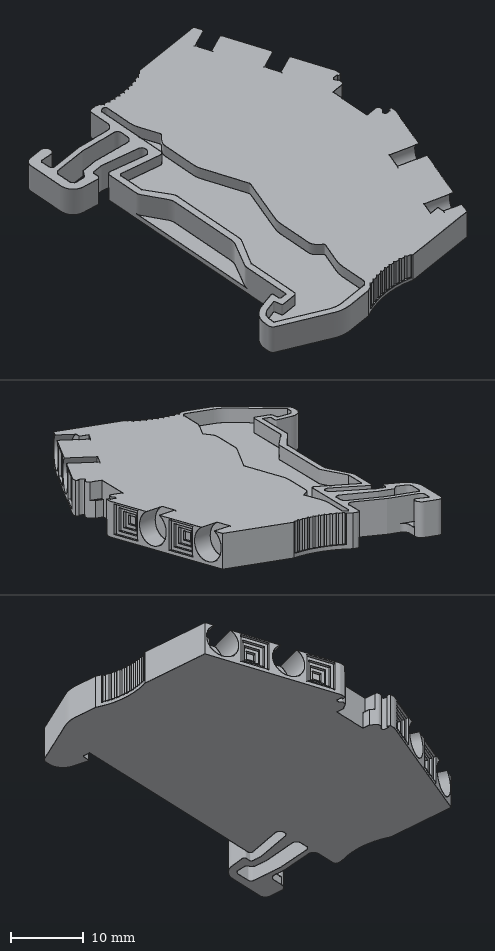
import cadquery as cq
import math

WIDTH = 50.9
HEIGHT = 41.4
THICKNESS = 5.2
HALF_WIDTH = WIDTH / 2

ROOF_ANGLE = 20.0
SHOULDER_Y = 34.15
ROOF_RUN = (HEIGHT - SHOULDER_Y) / math.tan(math.radians(ROOF_ANGLE))
RIDGE_X = HALF_WIDTH - ROOF_RUN

RAIL_Y = 6.0
SHELF_Y = 12.95
HOOK_TOP_Y = 4.05
CATCH_Y = 4.8
FOOT_RADIUS = 2.55
HOOK_RADIUS = 1.0
WEB_RADIUS = 0.9

NOTCH_FLOOR_Y = 38.1
NOTCH_HALF = 2.7
NOTCH_UPPER_HALF = 3.15
NOTCH_LEDGE_TOP_Y = 39.35
NOTCH_LEDGE_Z = 2.55
NOTCH_UPPER_TOP_Y = 39.95

GRIP_BOTTOM_Y = 14.1
GRIP_TOP_Y = 23.15
GRIP_DEPTH = 0.85
GRIP_LIP = 0.65
GRIP_RECESS = 0.15
GRIP_RECESS_BOTTOM_Y = 14.9
GRIP_RECESS_TOP_Y = 22.95
GROOVE_COUNT = 9
GROOVE_MIDDLE_Y = 18.75
GROOVE_PITCH = 0.85
GROOVE_WIDTH = 0.55
GROOVE_DEPTH = 0.4

POCKET_DEPTH = 2.1
POCKET_WALL_X = 24.35
POCKET_TOP_Y = 15.0
POCKET_BOTTOM_Y = 6.95
POCKET_FOOT_Y = 1.0
RECESS_FLOOR_Z = 1.0
RECESS_TOP_Y = 8.35
RECESS_CLEARANCE_X = 12.7
HOOK_WEB = 1.25

HOLE_XS = (13.2, 22.85)
HOLE_RADIUS = 2.5
HOLE_Z = 3.0
HOLE_FLAT = 0.65
LEFT_HOLE_DEPTH = 3.15
RIGHT_HOLE_DEPTH = 4.65
BLOCK_X = 22.0
BLOCK_Y = 31.95
OPENING_OFFSET = 4.75
OPENING_Z = 2.75
OPENING_SIZES = (4.4, 3.35, 2.35, 1.3)
OPENING_STEP = 0.4


def prism(corners, z_bottom=0.0, z_top=THICKNESS):
    """Extrude a closed outline of (x, y) or (x, y, corner radius) corners."""
    path = None
    for index, corner in enumerate(corners):
        here = cq.Vector(corner[0], corner[1])
        radius = corner[2] if len(corner) > 2 else 0.0
        before = corners[index - 1]
        after = corners[(index + 1) % len(corners)]
        to_before = (cq.Vector(before[0], before[1]) - here).normalized()
        to_after = (cq.Vector(after[0], after[1]) - here).normalized()
        half_angle = to_before.getAngle(to_after) / 2
        tangent_length = radius / math.tan(half_angle)
        start = here + to_before * tangent_length
        if path is None:
            path = cq.Workplane("XY", origin=(0, 0, z_bottom)).moveTo(start.x, start.y)
        else:
            path = path.lineTo(start.x, start.y)
        if radius:
            bisector = (to_before + to_after).normalized()
            middle = here + bisector * (radius / math.sin(half_angle) - radius)
            end = here + to_after * tangent_length
            path = path.threePointArc((middle.x, middle.y), (end.x, end.y))
    return path.close().extrude(z_top - z_bottom)


def both_sides(shape):
    return shape.union(shape.mirror("YZ"))


def roof_plane(x):
    """Plane on the roof flank at x: local x runs up in Z, the normal points outward."""
    side = math.copysign(1.0, x)
    angle = math.radians(ROOF_ANGLE)
    y = SHOULDER_Y + (HALF_WIDTH - abs(x)) * math.tan(angle)
    outward = (side * math.sin(angle), math.cos(angle), 0)
    return cq.Plane(origin=(x, y, 0), xDir=(0, 0, 1), normal=outward)


def body():
    return prism([
        (-HALF_WIDTH, SHELF_Y, 0.5),
        (-20.9, SHELF_Y, 0.9),
        (-21.9, 6.95),
        (-21.9, 1.55, 0.6),
        (-23.95, 1.55, 0.2),
        (-23.7, HOOK_TOP_Y, 0.6),
        (-HALF_WIDTH, HOOK_TOP_Y, HOOK_RADIUS),
        (-HALF_WIDTH, 0, HOOK_RADIUS),
        (-16.8, 0, FOOT_RADIUS),
        (-15.85, CATCH_Y, 0.4),
        (-17.25, CATCH_Y, 0.2),
        (-17.25, 6.55),
        (-15.5, SHELF_Y, 0.75),
        (-13.85, SHELF_Y, 0.75),
        (-15.8, RAIL_Y, 0.4),
        (17.55, RAIL_Y),
        (17.55, CATCH_Y, 0.3),
        (16.1, CATCH_Y, 0.25),
        (17.0, 0, FOOT_RADIUS),
        (20.3, 0, 0.95),
        (HALF_WIDTH, 9.15, 5.1),
        (HALF_WIDTH, SHOULDER_Y),
        (RIDGE_X, HEIGHT, 0.5),
        (-RIDGE_X, HEIGHT, 0.5),
        (-HALF_WIDTH, SHOULDER_Y),
    ])


def hook_web():
    """Thin floor that closes the hook next to the spring leg."""
    return prism([
        (-24.35, 1.1),
        (-21.65, 1.1),
        (-21.65, 5.05),
        (-21.9, 5.05),
        (-21.9, HOOK_TOP_Y, WEB_RADIUS),
        (-24.35, HOOK_TOP_Y),
    ], 0, HOOK_WEB)


def spring_slot():
    return prism([
        (-20.05, SHELF_Y, 0.75),
        (-21.0, 6.8),
        (-21.0, 1.35, 0.55),
        (-17.8, 1.35, 0.75),
        (-17.55, 3.45, 0.4),
        (-18.5, 4.15),
        (-18.5, 6.6),
        (-17.4, SHELF_Y, 0.75),
    ])


def label_notch():
    above = HEIGHT + 0.5
    notch = prism([
        (0, NOTCH_FLOOR_Y),
        (NOTCH_HALF, NOTCH_FLOOR_Y),
        (NOTCH_HALF, NOTCH_LEDGE_TOP_Y),
        (3.4, 40.35, 0.4),
        (4.05, 40.35, 0.4),
        (4.4, 39.95, 0.15),
        (4.9, 39.95, 0.2),
        (4.9, 40.85),
        (4.6, 40.85),
        (4.7, HEIGHT),
        (4.7, above),
        (0, above),
    ])
    upper = prism([
        (0, NOTCH_FLOOR_Y),
        (NOTCH_UPPER_HALF, NOTCH_FLOOR_Y),
        (NOTCH_UPPER_HALF, NOTCH_UPPER_TOP_Y),
        (0, NOTCH_UPPER_TOP_Y),
    ], NOTCH_LEDGE_Z)
    return both_sides(notch.union(upper))


def finger_grips():
    half_chord = (GRIP_TOP_Y - GRIP_BOTTOM_Y) / 2
    radius = (half_chord ** 2 + GRIP_DEPTH ** 2) / (2 * GRIP_DEPTH)
    centre_x = HALF_WIDTH - GRIP_DEPTH + radius
    centre_y = GRIP_BOTTOM_Y + half_chord
    centre = cq.Workplane("XY").center(centre_x, centre_y)
    hollow = centre.circle(radius).extrude(THICKNESS)

    recess_length = GRIP_RECESS_TOP_Y - GRIP_RECESS_BOTTOM_Y
    above_lip = cq.Workplane("XY").box(WIDTH, recess_length, THICKNESS - GRIP_LIP, centered=False)
    recess = centre.circle(radius + GRIP_RECESS).extrude(THICKNESS)
    hollow = hollow.union(recess.intersect(above_lip.translate((0, GRIP_RECESS_BOTTOM_Y, GRIP_LIP))))

    for index in range(GROOVE_COUNT):
        groove_y = GROOVE_MIDDLE_Y + (index - (GROOVE_COUNT - 1) / 2) * GROOVE_PITCH
        wall_x = centre_x - math.sqrt(radius ** 2 - (groove_y - centre_y) ** 2)
        groove = prism([
            (wall_x - GROOVE_DEPTH, groove_y),
            (wall_x + GROOVE_DEPTH, groove_y - GROOVE_WIDTH),
            (wall_x + GROOVE_DEPTH, groove_y + GROOVE_WIDTH),
        ], GRIP_LIP)
        hollow = hollow.union(groove)
    return both_sides(hollow)


def face_pocket():
    return prism([
        (-POCKET_WALL_X, POCKET_TOP_Y, 0.45),
        (-POCKET_WALL_X, 14.0, 0.45),
        (-12.5, 14.0, 0.4),
        (-14.35, POCKET_BOTTOM_Y, 0.3),
        (-10.2, POCKET_BOTTOM_Y),
        (-6.1, 9.35, 1.55),
        (6.1, 9.35, 1.55),
        (10.2, POCKET_BOTTOM_Y),
        (18.6, POCKET_BOTTOM_Y, 0.4),
        (18.6, 4.15, 0.25),
        (17.25, 3.85, 0.15),
        (17.9, POCKET_FOOT_Y, 1.5),
        (19.9, POCKET_FOOT_Y),
        (POCKET_WALL_X, 8.9, 4.05),
        (POCKET_WALL_X, POCKET_TOP_Y, 0.75),
        (19.1, POCKET_TOP_Y, 4.6),
        (15.2, 16.45, 0.25),
        (13.9, 15.15, 1.55),
        (7.5, 15.15, 3.55),
        (0, 17.85, 0.5),
        (-7.5, 15.15, 3.55),
        (-13.9, 15.15, 1.55),
        (-15.2, 16.45, 0.25),
        (-19.1, POCKET_TOP_Y, 4.6),
    ], THICKNESS - POCKET_DEPTH)


def rail_recess():
    """Recess with rounded mouth corners; its outline runs on through the free space below the rail."""
    return prism([
        (-RECESS_CLEARANCE_X, RAIL_Y),
        (-10.0, RAIL_Y, 1.2),
        (-5.75, RECESS_TOP_Y, 2.3),
        (5.75, RECESS_TOP_Y, 2.3),
        (10.0, RAIL_Y, 1.2),
        (RECESS_CLEARANCE_X, RAIL_Y),
        (RECESS_CLEARANCE_X, RAIL_Y - 0.5),
        (-RECESS_CLEARANCE_X, RAIL_Y - 0.5),
    ], RECESS_FLOOR_Z)


def wire_hole(x, depth):
    bore = cq.Workplane(roof_plane(x)).center(HOLE_Z, 0).circle(HOLE_RADIUS).extrude(-depth)
    floor_z = HOLE_Z - math.sqrt(HOLE_RADIUS ** 2 - (HOLE_FLAT / 2) ** 2)
    above_floor = cq.Workplane("XY", origin=(0, 0, floor_z)).rect(2 * WIDTH, 2 * WIDTH).extrude(THICKNESS)
    return bore.intersect(above_floor)


def stepped_opening(x):
    face = cq.Workplane(roof_plane(x)).center(OPENING_Z, 0)
    outer_size, *inner_sizes = OPENING_SIZES
    opening = face.rect(outer_size, outer_size).extrude(-OPENING_STEP)
    for level, size in enumerate(inner_sizes, start=2):
        opening = opening.union(face.rect(size, size).extrude(-level * OPENING_STEP))
    return opening


def corner_block():
    """Solid corner left standing at the inner end of the outermost right hole."""
    return cq.Workplane("XY").box(WIDTH, BLOCK_Y, THICKNESS, centered=False).translate((BLOCK_X, 0, 0))


result = body().union(hook_web()).cut(spring_slot()).cut(label_notch())
result = result.cut(finger_grips()).cut(face_pocket()).cut(rail_recess())
for hole_x in HOLE_XS:
    result = result.cut(wire_hole(-hole_x, LEFT_HOLE_DEPTH))
    result = result.cut(wire_hole(hole_x, RIGHT_HOLE_DEPTH).cut(corner_block()))
    result = result.cut(both_sides(stepped_opening(hole_x - OPENING_OFFSET)))